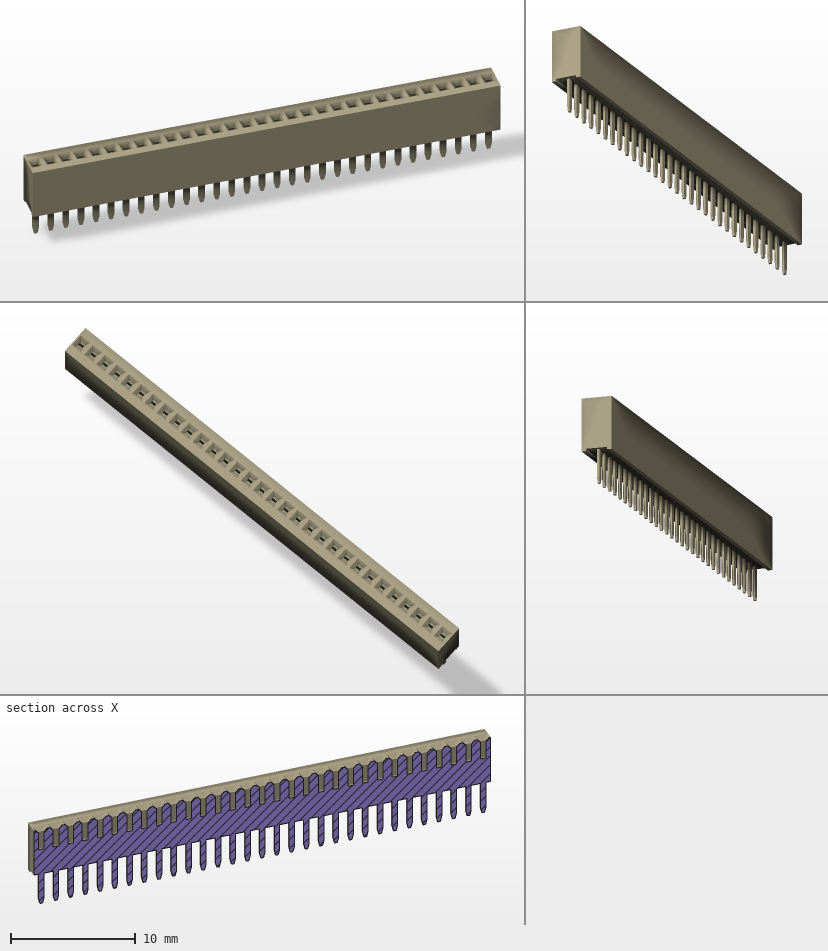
import cadquery as cq

contact_count = 31
body_length = 39.37
pitch = body_length / contact_count

body_width = 2.55
body_height = 4.4
overall_height = 7.0
channel_width = 1.77
channel_depth = 0.2

blade_thickness = 0.2
blade_width = 0.5
tip_width = 0.255
tip_length = 0.5
tail_length = overall_height - body_height

socket_width = 1.1
socket_length = 1.02
funnel_depth = 0.295
floor_width = socket_width - 2 * funnel_depth
floor_length = socket_length - 2 * funnel_depth
slot_width = blade_thickness
slot_length = floor_length
slot_depth = 1.57

funnel_floor = body_height - funnel_depth
slot_floor = funnel_floor - slot_depth
contact_positions = [(i - (contact_count - 1) / 2) * pitch for i in range(contact_count)]


def make_body():
    body = cq.Workplane("XY").box(body_width, body_length, body_height, centered=(True, True, False))
    channel = cq.Workplane("XY").box(channel_width, body_length, channel_depth, centered=(True, True, False))
    return body.cut(channel)


def make_socket():
    """Four-sided funnel with a flat floor and a narrow slot below it."""
    funnel = (
        cq.Workplane("XY", origin=(0, 0, funnel_floor))
        .rect(floor_width, floor_length)
        .workplane(offset=funnel_depth)
        .rect(socket_width, socket_length)
        .loft(ruled=True)
    )
    slot = (
        cq.Workplane("XY", origin=(0, 0, slot_floor))
        .rect(slot_width, slot_length)
        .extrude(slot_depth)
    )
    return funnel.union(slot)


def make_blade():
    """Flat blade whose lower end tapers to a blunt tip."""
    half_width = blade_width / 2
    half_tip = tip_width / 2
    shoulder = tip_length - tail_length
    outline = [
        (-half_width, slot_floor),
        (-half_width, shoulder),
        (-half_tip, -tail_length),
        (half_tip, -tail_length),
        (half_width, shoulder),
        (half_width, slot_floor),
    ]
    return cq.Workplane("YZ").polyline(outline).close().extrude(blade_thickness / 2, both=True)


def repeat_along_row(shape):
    copies = [shape.val().translate(cq.Vector(0, y, 0)) for y in contact_positions]
    return cq.Workplane(obj=cq.Compound.makeCompound(copies))


result = make_body().cut(repeat_along_row(make_socket())).union(repeat_along_row(make_blade()))